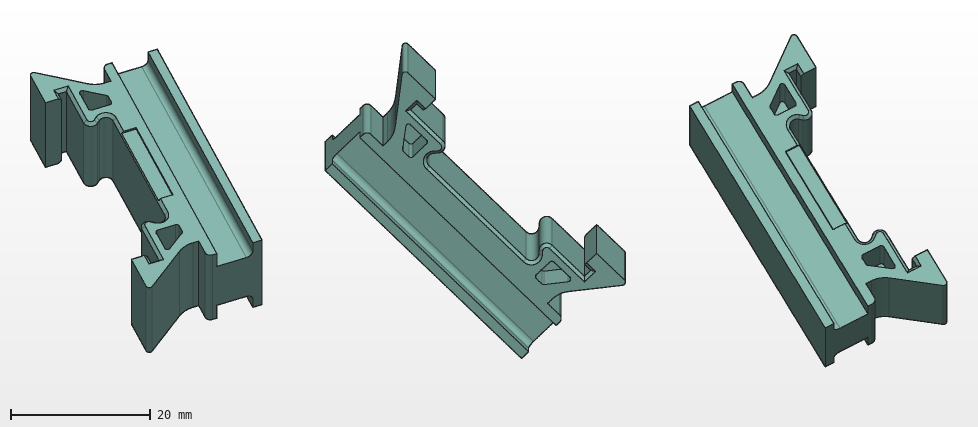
import cadquery as cq
import math

length = 45.0
depth = 18.8
height = 13.8

rail_half_length = 20.0
rail_front_y = 10.3
rail_corner_radius = 0.8
groove_front_y = 11.8
groove_rear_y = 17.35
groove_depth = 2.75
groove_fillet = 1.0

leg_neck_x = 16.75
leg_angle = math.radians(38)
leg_root_radius = 3.95
toe_radius = 0.5

foot_inner_x = 16.4
foot_top_y = 2.5
undercut_x = 17.7
shelf_y = 3.8
recess_rear_y = 7.85
wave_mid_x = 10.5
wave_half_run = 1.75
wave_radius = 1.1
recess_chamfer = 0.5

pocket_inner_x = 12.55
pocket_front_y = 5.25
pocket_rear_y = 8.8
pocket_rear_outer_x = 14.25
pocket_front_outer_x = 17.0
pocket_web = 1.0
pocket_radius = 0.4

label_length = 14.05
label_rear_y = 10.25
label_depth = 0.3

selection_margin = 0.005


def mirrored_outline(half):
    """Close a +X half outline with its mirror image across X = 0."""
    other_half = [(-x, y) for x, y in reversed(half)]
    return cq.Workplane("XY").polyline(half + other_half).close().extrude(height)


def fillet_upright_edges(body, x, y, radius):
    """Round the pair of upright edges that stand at (x, y) and (-x, y)."""
    for side in (-1, 1):
        lower = (side * x - selection_margin, y - selection_margin, -selection_margin)
        upper = (side * x + selection_margin, y + selection_margin, height + selection_margin)
        edges = body.edges("|Z").edges(cq.selectors.BoxSelector(lower, upper))
        body = edges.fillet(radius)
    return body


def make_body():
    """Extrude the plan outline, round its corners and chamfer the recess rim."""
    toe_tangent = toe_radius / math.tan((math.pi / 2 - leg_angle) / 2)
    toe_x = length / 2 - toe_radius + toe_tangent
    leg_root_y = (toe_x - leg_neck_x) / math.tan(leg_angle)

    nose_x = wave_mid_x - wave_half_run
    hollow_x = wave_mid_x + wave_half_run

    body = mirrored_outline([
        (hollow_x, recess_rear_y),
        (nose_x, shelf_y),
        (undercut_x, shelf_y),
        (undercut_x, foot_top_y),
        (foot_inner_x, foot_top_y),
        (foot_inner_x, 0),
        (toe_x, 0),
        (leg_neck_x, leg_root_y),
        (leg_neck_x, rail_front_y),
        (rail_half_length, rail_front_y),
        (rail_half_length, depth),
    ])
    body = fillet_upright_edges(body, hollow_x, recess_rear_y, wave_radius)
    body = fillet_upright_edges(body, nose_x, shelf_y, wave_radius)
    body = fillet_upright_edges(body, toe_x, 0, toe_radius)
    body = fillet_upright_edges(body, leg_neck_x, leg_root_y, leg_root_radius)
    body = fillet_upright_edges(body, rail_half_length, rail_front_y, rail_corner_radius)

    rim = cq.selectors.BoxSelector(
        (-undercut_x - selection_margin, foot_top_y - selection_margin, -selection_margin),
        (undercut_x + selection_margin, recess_rear_y + selection_margin, height + selection_margin),
    )
    return body.edges("#Z").edges(rim).chamfer(recess_chamfer)


def make_rail_grooves():
    """Grooves along the upper and lower faces, rounded at the rear of the floor."""
    groove_width = groove_rear_y - groove_front_y
    upper = (
        cq.Workplane("XY")
        .box(2 * rail_half_length, groove_width, groove_depth, centered=(True, False, False))
        .edges("|X and >Y and <Z")
        .fillet(groove_fillet)
        .translate((0, groove_front_y, height - groove_depth))
    )
    lower = upper.mirror("XY", (0, 0, height / 2))
    return upper.union(lower)


def make_leg_pockets():
    """Two blind pockets in each leg, one from each face."""
    pocket_depth = (height - pocket_web) / 2
    pocket = (
        cq.Workplane("XY", origin=(0, 0, height - pocket_depth))
        .moveTo(pocket_inner_x, pocket_front_y)
        .lineTo(pocket_front_outer_x, pocket_front_y)
        .lineTo(pocket_rear_outer_x, pocket_rear_y)
        .lineTo(pocket_inner_x, pocket_rear_y)
        .close()
        .extrude(pocket_depth)
        .edges("|Z")
        .fillet(pocket_radius)
    )
    pair = pocket.union(pocket.mirror("YZ"))
    return pair.union(pair.mirror("XY", (0, 0, height / 2)))


def make_label_recess():
    """Shallow cut that opens into the chamfer along the recess."""
    return cq.Workplane("XY").box(
        label_length, label_rear_y - recess_rear_y, label_depth, centered=(True, False, False)
    ).translate((0, recess_rear_y, height - label_depth))


result = make_body().cut(make_rail_grooves()).cut(make_leg_pockets()).cut(make_label_recess())